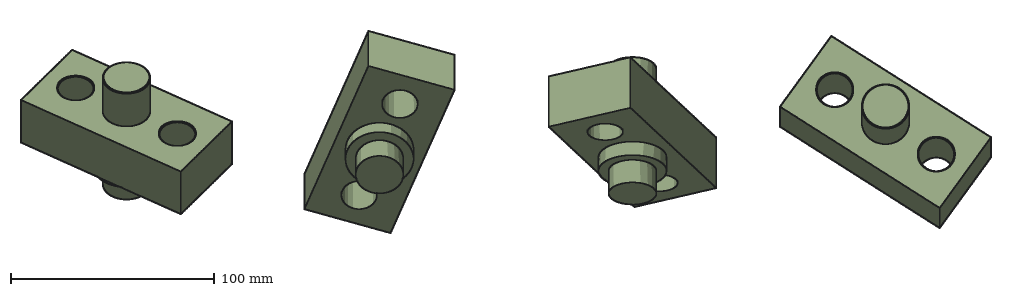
import cadquery as cq

block_length = 95.0
block_width = 45.0
block_height = 28.0

total_height = 70.0
pin_diameter = 23.5
pin_top_chamfer = 0.5
collar_diameter = 33.5
collar_height = 7.5
lower_pin_length = 12.5
pin_bottom = -(collar_height + lower_pin_length)

hole_diameter = 17.5
hole_spacing = 60.4
hole_chamfer = 0.5


def make_block():
    return cq.Workplane("XY").box(
        block_length, block_width, block_height, centered=(True, True, False)
    )


def make_pin():
    pin = cq.Workplane("XY").workplane(offset=pin_bottom)
    pin = pin.circle(pin_diameter / 2).extrude(total_height)
    return pin.faces(">Z").chamfer(pin_top_chamfer)


def make_collar():
    return cq.Workplane("XY").circle(collar_diameter / 2).extrude(-collar_height)


def make_hole_cutter(x):
    """Through hole with a small chamfer at the block's top face."""
    hole_radius = hole_diameter / 2
    bore = cq.Workplane("XY").center(x, 0).circle(hole_radius).extrude(block_height)
    mouth = (
        cq.Workplane("XY", origin=(x, 0, block_height))
        .circle(hole_radius + hole_chamfer)
        .workplane(offset=-hole_chamfer)
        .circle(hole_radius)
        .loft(ruled=True)
    )
    return bore.union(mouth)


result = make_block().union(make_collar()).union(make_pin())
for side in (-1, 1):
    result = result.cut(make_hole_cutter(side * hole_spacing / 2))